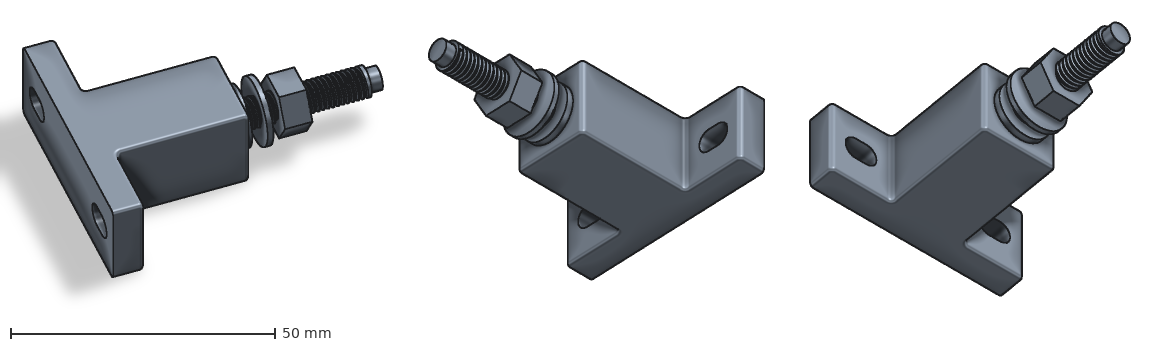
import cadquery as cq
import math

overall_length = 62.87

flange_width = 47.62
flange_thickness = 6.35
post_width = 17.78
block_height = 17.78
block_depth = 33.4
edge_radius = 1.016

slot_length = 7.62
slot_height = 5.08
slot_spacing = 33.02

collar_diameter = 12.7
collar_thickness = 1.5
tip_diameter = 4.83
tip_length = 2.54

thread_diameter = 6.35
thread_depth = 0.56
thread_pitch = 1.0
groove_mouth_width = 0.8
groove_root_width = 0.35
thread_runout = 0.6
groove_overshoot = 0.2

nut_across_flats = 11.11
nut_thickness = 5.56
nut_start = 41.5

washer_diameter = 14.0
washer_thickness = 1.2
washer_rim_start = 37.74
washer_cone_rise = 0.45

collar_end = block_depth + collar_thickness
thread_end = overall_length - tip_length


def cylinder_along_y(diameter, start, end):
    """Cylinder on the stud axis between two places along Y."""
    profile = cq.Workplane("XZ", origin=(0, start, 0)).circle(diameter / 2)
    return profile.extrude(start - end)


def make_block():
    flange = cq.Workplane("XY").box(
        flange_width, flange_thickness, block_height, centered=(True, False, True)
    )
    post = cq.Workplane("XY").box(
        post_width, block_depth, block_height, centered=(True, False, True)
    )
    block = flange.union(post)

    block = block.edges("not <Y").fillet(edge_radius)

    slots = (
        cq.Workplane("XZ")
        .pushPoints([(-slot_spacing / 2, 0), (slot_spacing / 2, 0)])
        .slot2D(slot_length, slot_height)
        .extrude(-flange_thickness)
    )
    return block.cut(slots)


def make_thread_groove():
    """Right-hand helical groove, built along +Z and then laid along +Y."""
    crest_radius = thread_diameter / 2
    root_radius = crest_radius - thread_depth
    groove_end = thread_end - thread_runout
    turns = math.ceil((groove_end - collar_end) / thread_pitch)
    length = turns * thread_pitch
    flank_slope = (groove_mouth_width - groove_root_width) / 2 / thread_depth
    outer_radius = crest_radius + groove_overshoot
    outer_half_width = groove_mouth_width / 2 + flank_slope * groove_overshoot
    root_half_width = groove_root_width / 2

    helix = cq.Wire.makeHelix(thread_pitch, length, root_radius)
    profile = (
        cq.Workplane("XZ")
        .moveTo(root_radius, -root_half_width)
        .lineTo(outer_radius, -outer_half_width)
        .lineTo(outer_radius, outer_half_width)
        .lineTo(root_radius, root_half_width)
        .close()
    )
    groove = profile.sweep(cq.Workplane(obj=helix), isFrenet=True)
    groove = groove.rotate((0, 0, 0), (0, 0, 1), 180)
    groove = groove.rotate((0, 0, 0), (1, 0, 0), -90)
    return groove.translate((0, groove_end - length, 0))


def make_nut():
    across_corners = nut_across_flats / math.cos(math.radians(30))
    hexagon = cq.Workplane("XZ", origin=(0, nut_start, 0)).polygon(6, across_corners)
    return hexagon.extrude(-nut_thickness)


def make_washer():
    rim_radius = washer_diameter / 2
    hub_radius = thread_diameter / 2
    rim_end = washer_rim_start + washer_thickness
    section = (
        cq.Workplane("XY")
        .moveTo(0, washer_rim_start + washer_cone_rise)
        .lineTo(hub_radius, washer_rim_start + washer_cone_rise)
        .lineTo(rim_radius, washer_rim_start)
        .lineTo(rim_radius, rim_end)
        .lineTo(hub_radius, rim_end + washer_cone_rise)
        .lineTo(0, rim_end + washer_cone_rise)
        .close()
    )
    return section.revolve(360, (0, 0, 0), (0, 1, 0))


def make_stud():
    collar = cylinder_along_y(collar_diameter, block_depth, collar_end)
    rod = cylinder_along_y(thread_diameter, block_depth, thread_end).cut(make_thread_groove())
    tip = cylinder_along_y(tip_diameter, thread_end, overall_length)
    return rod.union(collar).union(tip).union(make_nut()).union(make_washer())


block = make_block()
stud = make_stud()

result = cq.Compound.makeCompound([block.solids().val(), stud.solids().val()])